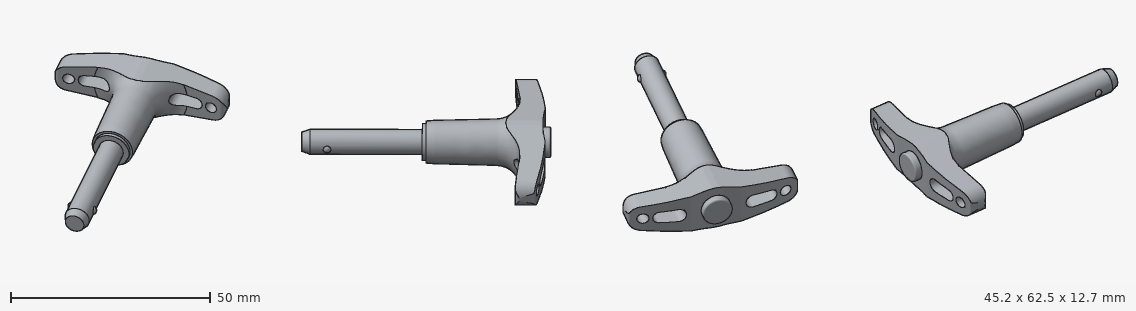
import cadquery as cq
import math

overall_length = 62.5
overall_width = 45.2
overall_height = 12.7

shank_radius = 3.2
tip_radius = 2.45
tip_taper_length = 2.1
ball_radius = 1.1
ball_reach = 3.75
ball_y = 6.4

collar_radius = 4.7
collar_y = 30.25
grip_bottom_y = 31.2
grip_bottom_radius = 5.3
grip_taper_y = 33.35
grip_taper_radius = 5.5
grip_top_y = 49.05
grip_top_radius = 5.9

neck_y = 49.6
neck_radius = 5.95
flare_radius = 12.3

half_width = overall_width / 2
top_dip_y = 60.5
crest_x = 6.55
crest_y = 61.1
shoulder_x = 13.1
shoulder_y = 60.35
end_top_x = 22.25
end_top_y = 58.4
underside_end_y = 53.4
underside_slope = 6.8
end_top_fillet = 0.6
end_bottom_fillet = 1.3
corner_overhang = 0.15
end_point_x = half_width + corner_overhang

center_flat = 0.9
end_radius = 3.9

eye_x = 18.75
eye_radius = 1.5
slot_inner_x = 7.8
slot_outer_x = 16.3
slot_inner_radius = 1.95
slot_outer_radius = 1.7

button_radius = 3.9
button_fillet = 0.45


def underside_y(x):
    """Height of the sloping handle underside at distance x from the pin axis."""
    return underside_end_y + (end_point_x - x) * math.tan(math.radians(underside_slope))


def tapered_prism(big_x, big_radius, small_x, small_radius):
    """Two circles joined by their common tangents, run through the handle along Y."""
    lean = math.asin((big_radius - small_radius) / (small_x - big_x))
    sin_lean = math.sin(lean)
    cos_lean = math.cos(lean)
    return (
        cq.Workplane("XZ")
        .moveTo(big_x + big_radius * sin_lean, big_radius * cos_lean)
        .lineTo(small_x + small_radius * sin_lean, small_radius * cos_lean)
        .threePointArc(
            (small_x + small_radius, 0),
            (small_x + small_radius * sin_lean, -small_radius * cos_lean),
        )
        .lineTo(big_x + big_radius * sin_lean, -big_radius * cos_lean)
        .threePointArc(
            (big_x - big_radius, 0),
            (big_x + big_radius * sin_lean, big_radius * cos_lean),
        )
        .close()
        .extrude(-overall_length)
    )


def side_profile():
    """Handle silhouette extruded along Z, with rounded ends."""
    apex_y = underside_y(0)
    profile = (
        cq.Workplane("XY")
        .workplane(offset=-overall_height / 2)
        .moveTo(0, apex_y)
        .lineTo(end_point_x, underside_end_y)
        .lineTo(end_top_x, end_top_y)
        .threePointArc((shoulder_x, shoulder_y), (crest_x, crest_y))
        .threePointArc((0, top_dip_y), (-crest_x, crest_y))
        .threePointArc((-shoulder_x, shoulder_y), (-end_top_x, end_top_y))
        .lineTo(-end_point_x, underside_end_y)
        .close()
        .extrude(overall_height)
    )
    for x, y, radius in (
        (end_top_x, end_top_y, end_top_fillet),
        (end_point_x, underside_end_y, end_bottom_fillet),
    ):
        for side in (-1, 1):
            corner = cq.selectors.NearestToPointSelector((side * x, y, 0))
            profile = profile.edges("|Z").edges(corner).fillet(radius)
    return profile


def plan_outline():
    """Handle outline seen along the pin axis: widest at the center, round at the ends."""
    end_x = half_width - end_radius
    half_height = overall_height / 2
    run = end_x - center_flat
    angle = math.atan2(half_height, run) - math.asin(end_radius / math.hypot(run, half_height))
    tangent_x = end_x + end_radius * math.sin(angle)
    tangent_z = end_radius * math.cos(angle)
    return (
        cq.Workplane("XZ")
        .moveTo(-center_flat, half_height)
        .lineTo(center_flat, half_height)
        .lineTo(tangent_x, tangent_z)
        .threePointArc((half_width, 0), (tangent_x, -tangent_z))
        .lineTo(center_flat, -half_height)
        .lineTo(-center_flat, -half_height)
        .lineTo(-tangent_x, -tangent_z)
        .threePointArc((-half_width, 0), (-tangent_x, tangent_z))
        .close()
        .extrude(-overall_length)
    )


def flare():
    """Revolved concave arc from the neck out to where it lies tangent to the handle underside."""
    slope = math.radians(underside_slope)
    rim_y = underside_y(flare_radius)
    top_y = underside_y(0)
    run = flare_radius - neck_radius
    rise = rim_y - neck_y
    arc_radius = (run**2 + rise**2) / (2 * (run * math.sin(slope) + rise * math.cos(slope)))
    center_x = flare_radius - arc_radius * math.sin(slope)
    center_y = rim_y - arc_radius * math.cos(slope)
    mid_angle = math.atan2((rim_y + neck_y) / 2 - center_y, (flare_radius + neck_radius) / 2 - center_x)
    arc_middle = (
        center_x + arc_radius * math.cos(mid_angle),
        center_y + arc_radius * math.sin(mid_angle),
    )
    return (
        cq.Workplane("XY")
        .moveTo(0, top_y)
        .lineTo(flare_radius, top_y)
        .lineTo(flare_radius, rim_y)
        .threePointArc(arc_middle, (neck_radius, neck_y))
        .lineTo(0, neck_y)
        .close()
        .revolve(360, (0, 0), (0, 1))
    )


def pin_and_grip():
    """Shank, collar and grip turned about the Y axis."""
    return (
        cq.Workplane("XY")
        .polyline([
            (0, 0),
            (tip_radius, 0),
            (shank_radius, tip_taper_length),
            (shank_radius, collar_y),
            (collar_radius, collar_y),
            (collar_radius, grip_bottom_y),
            (grip_bottom_radius, grip_bottom_y),
            (grip_taper_radius, grip_taper_y),
            (grip_top_radius, grip_top_y),
            (neck_radius, neck_y),
            (0, neck_y),
        ])
        .close()
        .revolve(360, (0, 0), (0, 1))
    )


def button():
    """Round-edged button rising from inside the handle."""
    base_y = underside_y(0)
    return (
        cq.Workplane("XZ", origin=(0, base_y, 0))
        .circle(button_radius)
        .extrude(base_y - overall_length)
        .faces(">Y")
        .edges()
        .fillet(button_fillet)
    )


handle = side_profile().union(flare()).intersect(plan_outline())

slot = tapered_prism(slot_inner_x + slot_inner_radius, slot_inner_radius,
                     slot_outer_x - slot_outer_radius, slot_outer_radius)
eye = cq.Workplane("XZ").center(eye_x, 0).circle(eye_radius).extrude(-overall_length)
for opening in (slot, eye):
    handle = handle.cut(opening).cut(opening.mirror("YZ"))

result = handle.union(pin_and_grip()).union(button())
for side in (-1, 1):
    ball_x = side * (ball_reach - ball_radius)
    result = result.union(cq.Workplane("XY", origin=(ball_x, ball_y, 0)).sphere(ball_radius))